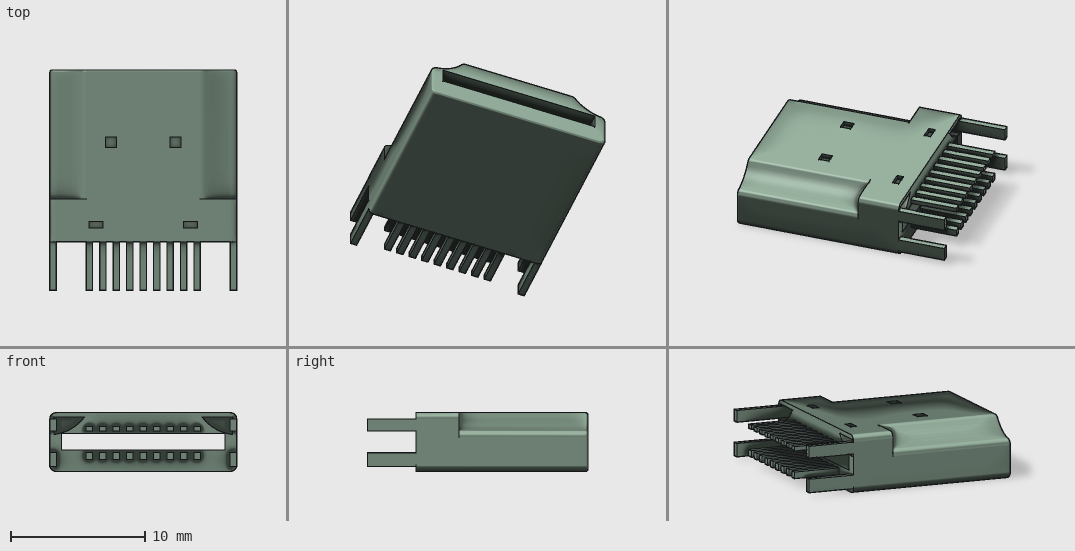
import cadquery as cq
import math

BODY_WIDTH = 13.9
BODY_LENGTH = 12.8
BODY_HEIGHT = 4.4
TOTAL_LENGTH = 16.4
TAIL_LENGTH = TOTAL_LENGTH - BODY_LENGTH
WALL = 0.33
CORNER_RADIUS = 0.5
MOUTH_FILLET = 0.2

SHOULDER_LENGTH = 9.6
SHOULDER_WIDTH = 2.5
SHOULDER_SIDE_HEIGHT = 3.0
SHOULDER_RADIUS = 3.0
SHOULDER_WALL = 0.26

SLOT_WIDTH = 12.15
SLOT_BOTTOM = 1.6
SLOT_TOP = 2.82

PIN_COUNT = 9
PIN_PITCH = 1.0
PIN_WIDTH = 0.5
PIN_ROWS = ((0.9, 1.41), (3.02, 3.35))

LEG_WIDTH = 0.5
LEG_LEVELS = ((0.38, 1.41), (3.02, 3.92))

SQUARE_WINDOW = 0.8
SQUARE_WINDOW_SPACING = 4.8
SQUARE_WINDOW_Y = BODY_LENGTH - 5.4
LONG_WINDOW_LENGTH = 1.05
LONG_WINDOW_WIDTH = 0.5
LONG_WINDOW_SPACING = 7.0
LONG_WINDOW_Y = BODY_LENGTH - 11.51

HALF_WIDTH = BODY_WIDTH / 2
SHOULDER_START = BODY_LENGTH - SHOULDER_LENGTH
POCKET_DEPTH = SHOULDER_START - WALL


def block(x_range, y_range, z_range):
    """Box between the given limits along each axis."""
    (x0, x1), (y0, y1), (z0, z1) = x_range, y_range, z_range
    return cq.Workplane("XY").box(x1 - x0, y1 - y0, z1 - z0, centered=False).translate((x0, y0, z0))


def shoulder_arc_center():
    """X, Z centre of the left shoulder's concave arc, which lies above and outside it."""
    x0, z0 = -HALF_WIDTH, SHOULDER_SIDE_HEIGHT
    x1, z1 = -HALF_WIDTH + SHOULDER_WIDTH, BODY_HEIGHT
    chord = math.hypot(x1 - x0, z1 - z0)
    distance = math.sqrt(SHOULDER_RADIUS**2 - (chord / 2) ** 2)
    return (
        (x0 + x1) / 2 - distance * (z1 - z0) / chord,
        (z0 + z1) / 2 + distance * (x1 - x0) / chord,
    )


def cylinder_along_y(center, radius, y_range):
    """Cylinder along Y about an X, Z centre."""
    y0, y1 = y_range
    axis_start = cq.Vector(center[0], y0, center[1])
    return cq.Workplane(cq.Solid.makeCylinder(radius, y1 - y0, axis_start, cq.Vector(0, 1, 0)))


def both_sides(left):
    """A left-hand shape together with its mirror image."""
    return left.union(left.mirror("YZ"))


def make_body():
    """Closed body with rounded long edges and a hollowed shoulder on each side."""
    pin_end = block((-HALF_WIDTH, HALF_WIDTH), (0, SHOULDER_START), (0, BODY_HEIGHT))
    pin_end = pin_end.edges("|Y").fillet(CORNER_RADIUS)

    y_range = (SHOULDER_START, BODY_LENGTH)
    mouth_end = block((-HALF_WIDTH, HALF_WIDTH), y_range, (0, BODY_HEIGHT))
    hollow = cylinder_along_y(shoulder_arc_center(), SHOULDER_RADIUS, y_range)
    mouth_end = mouth_end.cut(both_sides(hollow))
    mouth_end = mouth_end.edges("|Y").fillet(CORNER_RADIUS)
    mouth_end = mouth_end.faces(">Y").edges().fillet(MOUTH_FILLET)
    return pin_end.union(mouth_end)


def make_corner_pocket():
    """Left wedge pocket in the pin face, its floor following the shoulder arc."""
    y_range = (0, POCKET_DEPTH)
    corner = block((-HALF_WIDTH + WALL, 0), y_range, (0, BODY_HEIGHT - WALL))
    return corner.intersect(cylinder_along_y(shoulder_arc_center(), SHOULDER_RADIUS + SHOULDER_WALL, y_range))


def make_windows(length, width, spacing, y):
    """Pair of rectangular windows, one wall deep in the top face."""
    return (
        cq.Workplane("XY", origin=(0, y, BODY_HEIGHT - WALL))
        .pushPoints([(-spacing / 2, 0), (spacing / 2, 0)])
        .rect(length, width)
        .extrude(WALL)
    )


def make_legs():
    """Left pair of legs; the upper one runs on to the end of the corner pocket."""
    x_range = (-HALF_WIDTH, -HALF_WIDTH + LEG_WIDTH)
    legs = cq.Workplane("XY")
    for z_range in LEG_LEVELS:
        legs = legs.add(block(x_range, (-TAIL_LENGTH, 0), z_range))
    upper_leg = LEG_LEVELS[1]
    root = block((-HALF_WIDTH + WALL / 2, x_range[1]), (0, POCKET_DEPTH), upper_leg)
    return legs.add(root).combine()


def make_pins():
    """Both rows of straight contact pins."""
    pins = cq.Workplane("XY")
    for z_range in PIN_ROWS:
        for index in range(PIN_COUNT):
            x = (index - (PIN_COUNT - 1) / 2) * PIN_PITCH
            pins = pins.add(block((x - PIN_WIDTH / 2, x + PIN_WIDTH / 2), (-TAIL_LENGTH, 0), z_range))
    return pins.combine()


slot = block((-SLOT_WIDTH / 2, SLOT_WIDTH / 2), (0, BODY_LENGTH), (SLOT_BOTTOM, SLOT_TOP))

result = (
    make_body()
    .cut(slot)
    .cut(both_sides(make_corner_pocket()))
    .cut(make_windows(SQUARE_WINDOW, SQUARE_WINDOW, SQUARE_WINDOW_SPACING, SQUARE_WINDOW_Y))
    .cut(make_windows(LONG_WINDOW_LENGTH, LONG_WINDOW_WIDTH, LONG_WINDOW_SPACING, LONG_WINDOW_Y))
    .union(both_sides(make_legs()))
    .union(make_pins())
)